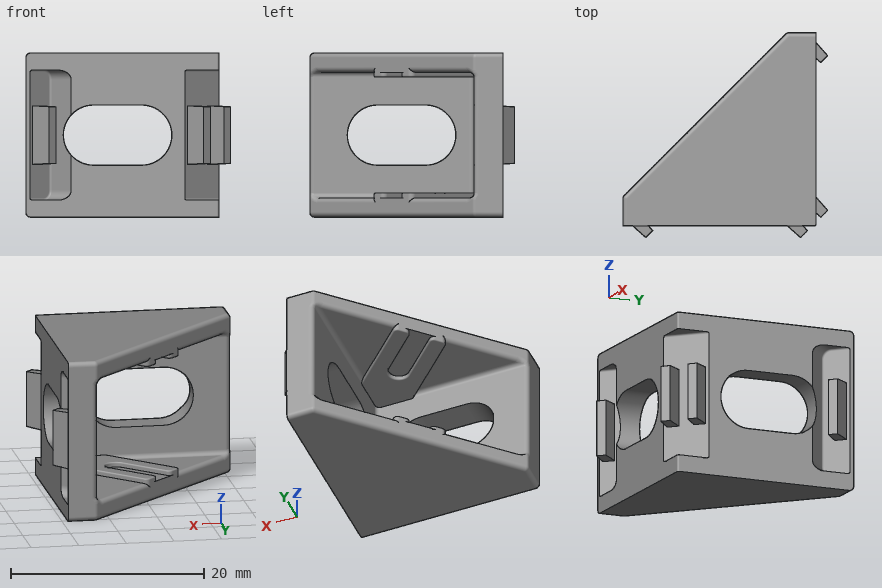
import cadquery as cq
import math


ROOT2 = math.sqrt(2)

leg = 20.0
width = 17.0
wall = 3.0
rim_round = 0.5
corner_round = 0.2

cavity_half_height = 6.5
cavity_round = 0.5
pad_height = 0.5
pad_half_span = 2.9
pad_root = 0.7
pad_end_round = 0.5
pad_edge_round = 0.15
groove_radius = 1.15
groove_center_depth = 6.0

slot_length = 11.2
slot_diameter = 6.2
slot_center = 9.5

recess_half_height = 6.73
recess_floor_round = 0.2
recess_corner_round = 1.0
end_recess_start = 0.45
end_recess_stop = 4.7

tab_pitch = 16.0
tab_height = 2.22
tab_offset = 1.9
tab_root_thickness = 1.28
tab_tip_thickness = 1.02
tab_root_length = 6.04
tab_tip_length = 5.86

half_width = width / 2
slope_middle = (leg - wall) / 2
inner_corner_depth = (leg - wall) / ROOT2
outer_corner_depth = (leg + wall) / ROOT2
end_floor_depth = (end_recess_start + wall) / ROOT2
corner_floor_depth = end_floor_depth + tab_pitch / ROOT2


def depth_plane(depth):
    """Workplane square to the depth direction: local x is span, local y is Z."""
    shift = depth / ROOT2
    origin = (slope_middle + shift, leg - slope_middle - shift, 0)
    return cq.Workplane(cq.Plane(origin=origin, xDir=(1, 1, 0), normal=(1, -1, 0)))


def cheek_plane(z):
    """Workplane parallel to the cheeks: local x is depth, local y is span."""
    origin = (slope_middle, leg - slope_middle, z)
    return cq.Workplane(cq.Plane(origin=origin, xDir=(1, -1, 0), normal=(0, 0, 1)))


def span_of(x_plus_y):
    """Span of the points with the given x + y."""
    return (x_plus_y - leg) / ROOT2


def with_mirror_copy(shape):
    """The shape and its mirror image on the other wall."""
    return shape.union(shape.mirror((1, 1, 0), (leg, 0, 0)))


def make_shell():
    """Walls and cheeks around the cavity, with the open rim rounded inside and out."""
    body = (
        cq.Workplane("XY", origin=(0, 0, -half_width))
        .polyline([(0, 0), (leg, 0), (leg, leg), (leg - wall, leg), (0, wall)])
        .close()
        .extrude(width)
        .edges("|Z and >X and <Y")
        .fillet(corner_round)
    )
    cavity = (
        cq.Workplane("XY", origin=(-wall, wall, 0))
        .box(leg, leg, 2 * cavity_half_height, centered=(False, False, True))
        .faces(">X or <Y")
        .edges("(|X and <Y) or (|Y and >X) or (|Z and >X and <Y)")
        .fillet(cavity_round)
    )
    rim_faces = body.cut(cavity).faces("<X or >Y or <(1, -1, 0)")
    return rim_faces.edges("not(<Y or >X)").fillet(rim_round)


def make_pads():
    """Pads running from the open face to the inner corner, each with a groove."""
    top = cavity_half_height - pad_height
    length = inner_corner_depth + cavity_round
    pad = (
        cheek_plane(top)
        .center(length / 2, 0)
        .rect(length, 2 * pad_half_span)
        .extrude(pad_height + pad_root)
    )
    groove = (
        cheek_plane(top)
        .slot2D(2 * (groove_center_depth + groove_radius), 2 * groove_radius)
        .extrude(pad_height)
    )
    pad = pad.cut(groove)
    pad = pad.edges("|Z").edges("<(1, -1, 0)").fillet(pad_end_round)
    pad = pad.faces("<Z").edges().fillet(pad_edge_round)
    return pad.union(pad.mirror("XY"))


def make_slot():
    """Obround screw slot through the wall along the X axis."""
    return (
        cq.Workplane("XZ", origin=(slot_center, wall / 2, 0))
        .slot2D(slot_length, slot_diameter)
        .extrude(wall, both=True)
    )


def make_end_recess():
    """Recess near the free end of a wall, with a floor square to the depth direction."""
    low = span_of(end_recess_start) - wall
    high = span_of(end_recess_stop)
    block = (
        depth_plane(end_floor_depth)
        .center((low + high) / 2, 0)
        .rect(high - low, 2 * recess_half_height)
        .extrude(outer_corner_depth)
    )
    block = block.edges("|(1, -1, 0) and >(1, 1, 0)").fillet(recess_corner_round)
    return block.faces("<(1, -1, 0)").edges().fillet(recess_floor_round)


def make_corner_recess():
    """Flat across the outer corner, between the cheeks."""
    return (
        depth_plane(corner_floor_depth)
        .rect(2 * leg, 2 * recess_half_height)
        .extrude(outer_corner_depth)
        .faces("<(1, -1, 0)")
        .edges("not |Z")
        .fillet(recess_floor_round)
    )


def make_tab(floor_depth, span):
    """Tab tapering from the recess floor toward its tip."""
    return (
        depth_plane(floor_depth)
        .center(span, 0)
        .rect(tab_root_thickness, tab_root_length)
        .workplane(offset=tab_height)
        .rect(tab_tip_thickness, tab_tip_length)
        .loft(ruled=True)
    )


bracket = make_shell().union(make_pads())
bracket = bracket.cut(with_mirror_copy(make_slot()))
bracket = bracket.cut(with_mirror_copy(make_end_recess()))
bracket = bracket.cut(make_corner_recess())

tab_span = span_of(tab_offset)
end_tab = make_tab(end_floor_depth, tab_span)
corner_tab = make_tab(corner_floor_depth, tab_span + tab_pitch / ROOT2)
for tab in (end_tab, corner_tab):
    bracket = bracket.union(with_mirror_copy(tab))

result = bracket